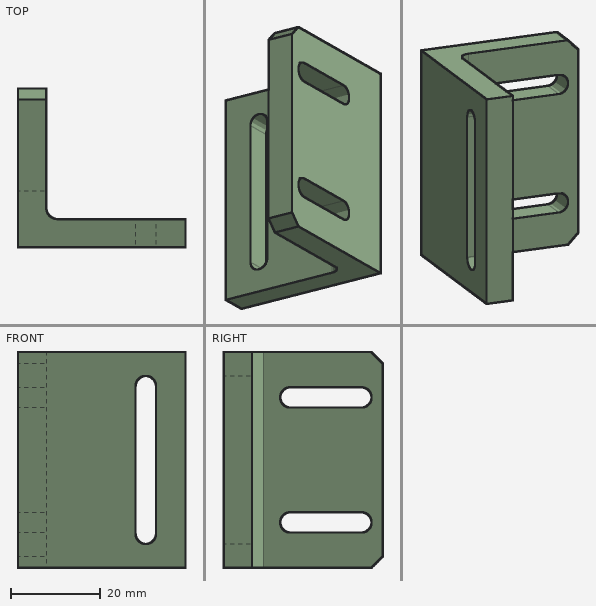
import cadquery as cq

width = 37.47
depth = 35.56
height = 48.26

thickness = 6.35
inner_fillet = 2.54
corner_chamfer = 2.54

slot_width = 4.5
front_slot_length = 37.52
front_slot_edge_margin = 8.89
side_slot_length = 20.36
side_slot_end_margin = 2.54
side_slot_spacing = 27.94

mid_height = height / 2
front_slot_x = width - front_slot_edge_margin
side_slot_y = depth - side_slot_end_margin - side_slot_length / 2


def angle_body():
    """L section extruded along Z, with its outer corner on the Z axis."""
    front_plate = cq.Workplane("XY").box(width, thickness, height, centered=False)
    side_plate = cq.Workplane("XY").box(thickness, depth, height, centered=False)
    inner_corner = cq.selectors.NearestToPointSelector((thickness, thickness, mid_height))
    return front_plate.union(side_plate).edges(inner_corner).fillet(inner_fillet)


def chamfer_side_plate(body):
    """Chamfer the top and bottom corners at the free edge of the side plate."""
    return body.faces(">Y").edges("|X").chamfer(corner_chamfer)


def front_slot():
    """Vertical slot through the front plate."""
    return (
        cq.Workplane("XZ")
        .center(front_slot_x, mid_height)
        .slot2D(front_slot_length, slot_width, angle=90)
        .extrude(-thickness)
    )


def side_slot(z):
    """Horizontal slot through the side plate at height z."""
    return (
        cq.Workplane("YZ")
        .center(side_slot_y, z)
        .slot2D(side_slot_length, slot_width)
        .extrude(thickness)
    )


result = chamfer_side_plate(angle_body()).cut(front_slot())
for direction in (-1, 1):
    result = result.cut(side_slot(mid_height + direction * side_slot_spacing / 2))